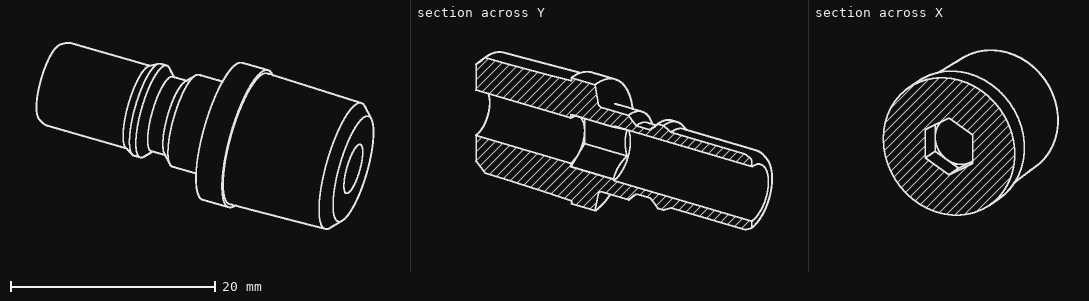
import cadquery as cq
import math

total_length = 32.0
plug_radius = 8.45 / 2
collar_radius = 9.4 / 2
neck_radius = 7.6 / 2
flange_radius = 14.0 / 2

tip_cone_angle = math.radians(30)
lip_round = 0.32
plug_round = 1.0

collar_start = 9.38
collar_front_end = 10.25
collar_back_start = 10.9
bevel = collar_radius - neck_radius
groove_start = collar_back_start + bevel
groove_end = 13.4
shoulder_start = groove_end + bevel

fillet_start = 17.28
fillet_end = 17.82
fillet_end_radius = 5.2
fillet_bulge = 0.13
flange_start = 18.18
flange_end = 20.93

taper_large_radius = 6.7
taper_small_radius = 6.43
end_chamfer = 1.05

bore_radius = 6.0 / 2
through_radius = 5.0 / 2
hex_across_flats = 5.0
hex_corner_radius = hex_across_flats / math.sqrt(3)
bore_depth = 16.0
socket_depth = 5.0
lead_in_angle = 60.0


def arc_point(center, radius, angle):
    """Point on an arc, at an angle turned from straight outward toward the tip."""
    return center[0] - radius * math.sin(angle), center[1] + radius * math.cos(angle)


def outer_body():
    """Revolve the outside profile about the X axis."""
    plug_round_center = (plug_round, plug_radius - plug_round)
    cone_end = arc_point(plug_round_center, plug_round, tip_cone_angle)
    plug_round_middle = arc_point(plug_round_center, plug_round, tip_cone_angle / 2)
    cone_start_x = lip_round * (1 - math.sin(tip_cone_angle))
    cone_start_radius = cone_end[1] - (cone_end[0] - cone_start_x) * math.tan(tip_cone_angle)
    lip_center = (lip_round, cone_start_radius - lip_round * math.cos(tip_cone_angle))
    lip_middle = arc_point(lip_center, lip_round, (tip_cone_angle + math.pi / 2) / 2)
    fillet_middle = (
        (fillet_start + fillet_end) / 2 + fillet_bulge,
        (collar_radius + fillet_end_radius) / 2 - fillet_bulge,
    )
    return (
        cq.Workplane("XY")
        .lineTo(0, lip_center[1])
        .threePointArc(lip_middle, (cone_start_x, cone_start_radius))
        .lineTo(*cone_end)
        .threePointArc(plug_round_middle, (plug_round, plug_radius))
        .lineTo(collar_start, plug_radius)
        .lineTo(collar_front_end, collar_radius)
        .lineTo(collar_back_start, collar_radius)
        .lineTo(groove_start, neck_radius)
        .lineTo(groove_end, neck_radius)
        .lineTo(shoulder_start, collar_radius)
        .lineTo(fillet_start, collar_radius)
        .threePointArc(fillet_middle, (fillet_end, fillet_end_radius))
        .lineTo(flange_start, flange_radius)
        .lineTo(flange_end, flange_radius)
        .lineTo(flange_end, taper_large_radius)
        .lineTo(total_length - end_chamfer, taper_small_radius)
        .lineTo(total_length, taper_small_radius - end_chamfer)
        .lineTo(total_length, 0)
        .close()
        .revolve(360, (0, 0, 0), (1, 0, 0))
    )


def bore():
    """Bore from the plug tip, ending in a cone that leads into the socket."""
    lead_in_length = (bore_radius - through_radius) / math.tan(math.radians(lead_in_angle))
    return (
        cq.Workplane("XY")
        .lineTo(0, bore_radius)
        .lineTo(bore_depth, bore_radius)
        .lineTo(bore_depth + lead_in_length, through_radius)
        .lineTo(bore_depth + lead_in_length, 0)
        .close()
        .revolve(360, (0, 0, 0), (1, 0, 0))
    )


def hex_socket():
    """Hexagonal socket with two corners pointing along Z."""
    corner_angles = [math.radians(90 + 60 * i) for i in range(6)]
    corners = [(hex_corner_radius * math.cos(a), hex_corner_radius * math.sin(a)) for a in corner_angles]
    return cq.Workplane("YZ", origin=(bore_depth, 0, 0)).polyline(corners).close().extrude(socket_depth)


through_hole = cq.Workplane("YZ").circle(through_radius).extrude(total_length)
result = outer_body().cut(bore()).cut(through_hole).cut(hex_socket())